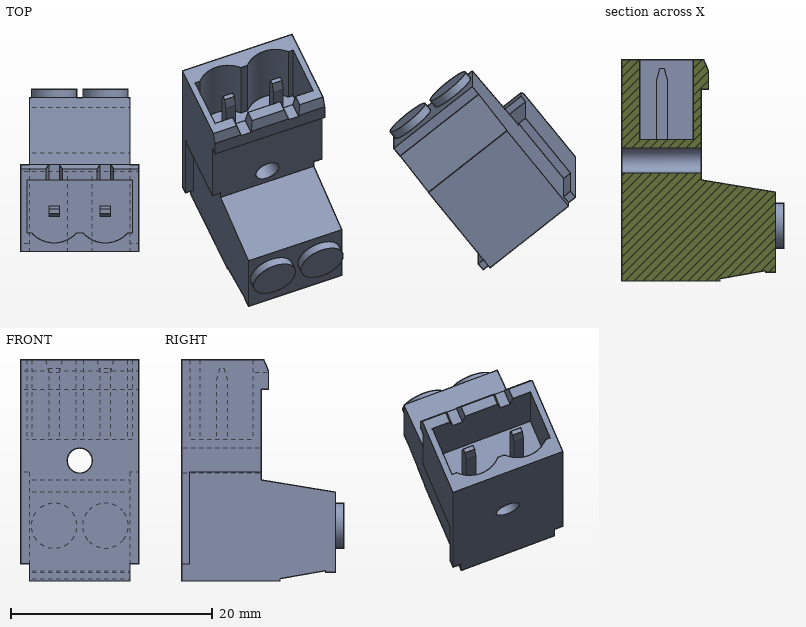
import cadquery as cq

shell_width = 11.77
height = 22.0
total_depth = 16.15
side_overhang = 0.88
body_width = shell_width - 2 * side_overhang
pole_x = 2.55

shell_depth = 7.95
shell_bottom = 10.82
lip_depth = 8.65
lip_top_depth = 8.18
lip_bottom = 19.05
lip_bevel_bottom = 20.9
plate_thickness = 0.8
plate_bottom = 1.72

body_depth = 15.31
body_top_front = 10.05
body_top_rear = 8.85
body_rear_bottom = 0.85
foot_inner_y = 14.3
foot_recess_z = 1.01
base_depth = 9.8
base_step = 0.22

screw_diameter = 4.5
screw_z = 5.5

cavity_half_width = 5.25
cavity_front = 1.83
cavity_back = 7.1
cavity_floor = 14.08
scallop_half_width = 2.2
scallop_front = 0.85

pin_width = 1.03
pin_thickness = 1.05
pin_center_y = 4.03
pin_tip_thickness = 0.45
pin_top = 21.12
pin_taper_length = 1.1

notch_floor_width = 1.03
notch_top_width = 1.65
notch_depth = 1.25

hole_diameter = 2.46
hole_z = 11.97


def extrude_side_profile(points, width):
    """Extrude a Y-Z outline symmetrically about X = 0."""
    return cq.Workplane("YZ").polyline(points).close().extrude(width / 2, both=True)


def make_shell():
    return extrude_side_profile(
        [
            (0, plate_bottom),
            (plate_thickness, plate_bottom),
            (plate_thickness, shell_bottom),
            (shell_depth, shell_bottom),
            (shell_depth, lip_bottom),
            (lip_depth, lip_bottom),
            (lip_depth, lip_bevel_bottom),
            (lip_top_depth, height),
            (0, height),
        ],
        shell_width,
    )


def make_body():
    return extrude_side_profile(
        [
            (0, 0),
            (base_depth, 0),
            (base_depth, base_step),
            (foot_inner_y, foot_recess_z),
            (foot_inner_y, body_rear_bottom),
            (body_depth, body_rear_bottom),
            (body_depth, body_top_rear),
            (shell_depth, body_top_front),
            (shell_depth, shell_bottom),
            (0, shell_bottom),
        ],
        body_width,
    )


def make_screw(x):
    return (
        cq.Workplane("XZ", origin=(x, total_depth, screw_z))
        .circle(screw_diameter / 2)
        .extrude(total_depth - body_depth)
    )


def make_cavity():
    outline = cq.Workplane("XY", origin=(0, 0, cavity_floor)).moveTo(-cavity_half_width, cavity_back)
    outline = outline.lineTo(-cavity_half_width, cavity_front)
    for x in (-pole_x, pole_x):
        outline = outline.lineTo(x - scallop_half_width, cavity_front)
        outline = outline.threePointArc((x, scallop_front), (x + scallop_half_width, cavity_front))
    outline = outline.lineTo(cavity_half_width, cavity_front).lineTo(cavity_half_width, cavity_back)
    return outline.close().extrude(height - cavity_floor)


def make_notch(x):
    floor_z = height - notch_depth
    return (
        cq.Workplane("XZ", origin=(x, lip_depth, 0))
        .polyline(
            [
                (-notch_floor_width / 2, floor_z),
                (notch_floor_width / 2, floor_z),
                (notch_top_width / 2, height),
                (-notch_top_width / 2, height),
            ]
        )
        .close()
        .extrude(lip_depth - cavity_back)
    )


def make_pin(x):
    taper_z = pin_top - pin_taper_length
    return extrude_side_profile(
        [
            (pin_center_y - pin_thickness / 2, cavity_floor),
            (pin_center_y + pin_thickness / 2, cavity_floor),
            (pin_center_y + pin_thickness / 2, taper_z),
            (pin_center_y + pin_tip_thickness / 2, pin_top),
            (pin_center_y - pin_tip_thickness / 2, pin_top),
            (pin_center_y - pin_thickness / 2, taper_z),
        ],
        pin_width,
    ).translate((x, 0, 0))


def make_hole():
    return cq.Workplane("XZ", origin=(0, shell_depth, hole_z)).circle(hole_diameter / 2).extrude(shell_depth)


result = make_shell().union(make_body()).cut(make_cavity()).cut(make_hole())
for x in (-pole_x, pole_x):
    result = result.cut(make_notch(x)).union(make_pin(x)).union(make_screw(x))